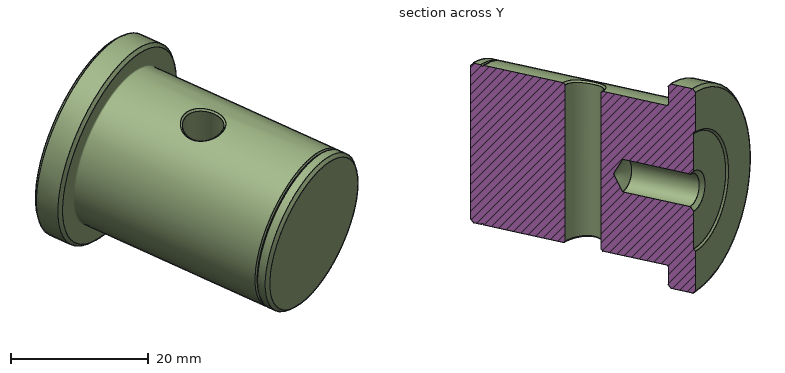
import cadquery as cq
import math

length = 38.0
flange_dia = 32.0
flange_thick = 4.67
shank_dia = 25.0
edge_chamfer = 0.5
root_fillet = 0.2
flange_radius = flange_dia / 2
shank_radius = shank_dia / 2

groove_width = 0.45
groove_depth = groove_width / 2
groove_end_gap = 2.0

recess_dia = 18.62
recess_depth = 0.3

tap_dia = 5.0
tap_depth = 12.0
tap_countersink = 0.6
drill_point_angle = 118.0

cross_dia = 6.0
cross_chamfer = 0.3
cross_x = length / 2

mouth_band = 1.15

groove_x = length - groove_end_gap
body = (
    cq.Workplane("XY")
    .moveTo(0, 0)
    .lineTo(0, flange_radius - edge_chamfer)
    .lineTo(edge_chamfer, flange_radius)
    .lineTo(flange_thick - edge_chamfer, flange_radius)
    .lineTo(flange_thick, flange_radius - edge_chamfer)
    .lineTo(flange_thick, shank_radius + root_fillet)
    .radiusArc((flange_thick + root_fillet, shank_radius), -root_fillet)
    .lineTo(groove_x - groove_width / 2, shank_radius)
    .lineTo(groove_x, shank_radius - groove_depth)
    .lineTo(groove_x + groove_width / 2, shank_radius)
    .lineTo(length - edge_chamfer, shank_radius)
    .lineTo(length, shank_radius - edge_chamfer)
    .lineTo(length, 0)
    .close()
    .revolve(360, (0, 0, 0), (1, 0, 0))
)

recess_radius = recess_dia / 2
recess = (
    cq.Workplane("XY")
    .moveTo(0, 0)
    .lineTo(0, recess_radius)
    .lineTo(recess_depth, recess_radius - recess_depth)
    .lineTo(recess_depth, 0)
    .close()
    .revolve(360, (0, 0, 0), (1, 0, 0))
)

tap_radius = tap_dia / 2
tap_end = recess_depth + tap_depth
drill_tip = tap_end + tap_radius / math.tan(math.radians(drill_point_angle / 2))
blind_hole = (
    cq.Workplane("XY")
    .moveTo(recess_depth, 0)
    .lineTo(recess_depth, tap_radius + tap_countersink)
    .lineTo(recess_depth + tap_countersink, tap_radius)
    .lineTo(tap_end, tap_radius)
    .lineTo(drill_tip, 0)
    .close()
    .revolve(360, (0, 0, 0), (1, 0, 0))
)

cross_hole = cq.Workplane("XY").center(cross_x, 0).circle(cross_dia / 2).extrude(shank_radius, both=True)
drilled = body.cut(recess).cut(blind_hole).cut(cross_hole)


def mouth_edges(side):
    """Selector for the rim of the cross hole on the +Z (side = 1) or -Z (side = -1) flank."""
    mouth_base = shank_radius - mouth_band
    lower_corner = (cross_x - cross_dia, -cross_dia, side * mouth_base)
    upper_corner = (cross_x + cross_dia, cross_dia, side * shank_radius)
    return cq.selectors.BoxSelector(lower_corner, upper_corner)


result = drilled.edges(mouth_edges(1) + mouth_edges(-1)).chamfer(cross_chamfer)